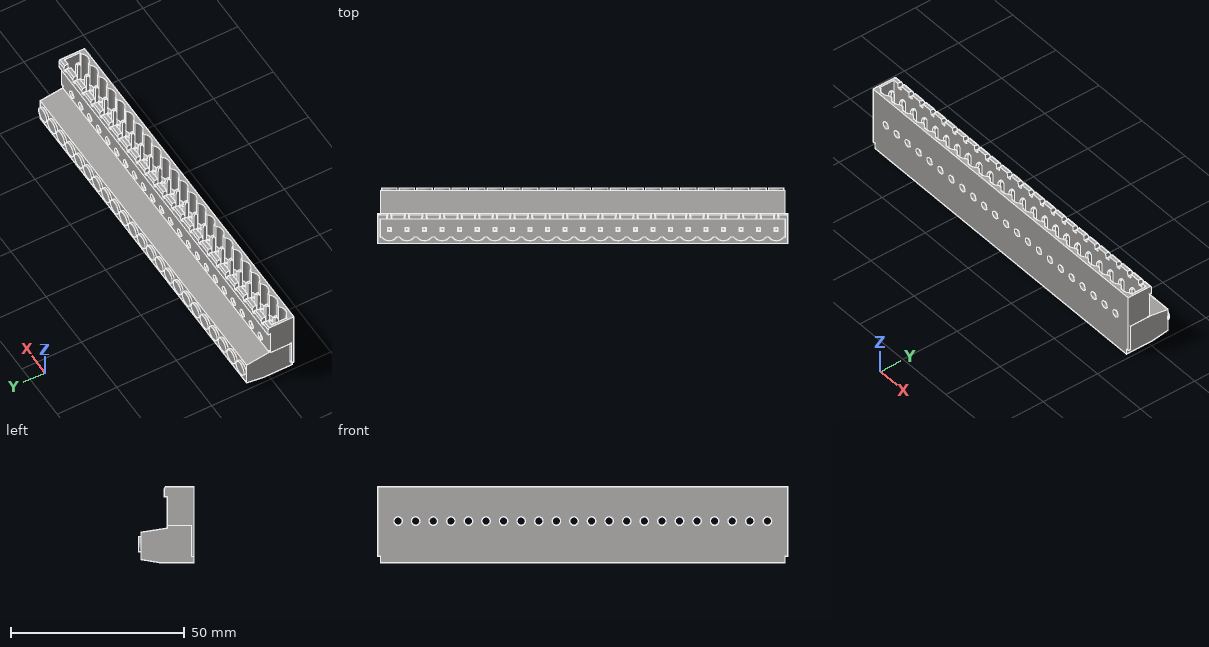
import cadquery as cq


pole_count = 23
row_span = 111.7
pitch = row_span / (pole_count - 1)

length = 118.5
height = 22.0
shroud_depth = 7.8
shroud_bottom = 10.8
cavity_back = 7.1
end_wall = 0.7
front_strip_depth = 0.8
front_strip_bottom = 1.9

cusp_depth = 1.9
scallop_radius = 2.6
scallop_front_wall = 0.8

lip_depth = 8.6
lip_bottom = 19.1
lip_chamfer_bottom = 21.3
lip_top_depth = 8.3
notch_floor = 20.5
notch_outer_width = 0.7
notch_inner_width = 1.2
notch_side_slope = 10

body_inset = 0.8
body_depth = 15.4
body_top_at_shroud = 10.1
body_top_at_back = 8.9
body_flat_base_depth = 9.7
body_base_at_back = 1.0

boss_diameter = 4.5
boss_height = 0.7
boss_z = 5.5

pin_width = 1.2
pin_tip_inset = 0.2
pin_tip_height = 0.8
pin_y = 4.1
pin_top = 21.1

hole_diameter = 2.4
hole_z = 12.1

body_length = length - 2 * body_inset
pole_xs = [(i - (pole_count - 1) / 2) * pitch for i in range(pole_count)]
gap_xs = [x + pitch / 2 for x in pole_xs[:-1]]


def extrude_along_row(profile, row_length):
    """Extrude a (y, z) outline along X, centred on the row."""
    return cq.Workplane("YZ").polyline(profile).close().extrude(row_length / 2, both=True)


def make_shroud():
    profile = [
        (0, front_strip_bottom),
        (front_strip_depth, front_strip_bottom),
        (front_strip_depth, shroud_bottom),
        (shroud_depth, shroud_bottom),
        (shroud_depth, lip_bottom),
        (lip_depth, lip_bottom),
        (lip_depth, lip_chamfer_bottom),
        (lip_top_depth, height),
        (0, height),
    ]
    return extrude_along_row(profile, length)


def make_body():
    profile = [
        (0, 0),
        (body_flat_base_depth, 0),
        (body_depth, body_base_at_back),
        (body_depth, body_top_at_back),
        (shroud_depth, body_top_at_shroud),
        (shroud_depth, shroud_bottom),
        (0, shroud_bottom),
    ]
    return extrude_along_row(profile, body_length)


def make_cavity():
    """Open-topped pocket whose front side has one round scallop per pole."""
    depth = height - shroud_bottom
    floor = cq.Workplane("XY").workplane(offset=shroud_bottom)
    pocket = (
        floor.center(0, (cusp_depth + cavity_back) / 2)
        .rect(length - 2 * end_wall, cavity_back - cusp_depth)
        .extrude(depth)
    )
    scallop_y = scallop_front_wall + scallop_radius
    for x in pole_xs:
        scallop = floor.center(x, scallop_y).circle(scallop_radius).extrude(depth)
        pocket = pocket.union(scallop)
    return pocket


def make_notches():
    """Notches through the top of the back wall, one per pole, flaring inwards and upwards."""
    notches = cq.Workplane("XY")
    for x in pole_xs:
        outline = [
            (x - notch_inner_width / 2, cavity_back),
            (x + notch_inner_width / 2, cavity_back),
            (x + notch_outer_width / 2, lip_depth),
            (x - notch_outer_width / 2, lip_depth),
        ]
        notch = cq.Workplane("XY").workplane(offset=notch_floor).polyline(outline).close()
        notches = notches.add(notch.extrude(height - notch_floor, taper=-notch_side_slope))
    return notches.combine()


def make_pins():
    return (
        cq.Workplane("XY")
        .workplane(offset=shroud_bottom)
        .pushPoints([(x, pin_y) for x in pole_xs])
        .rect(pin_width, pin_width)
        .extrude(pin_top - shroud_bottom)
        .faces(">Z")
        .chamfer(pin_tip_height, pin_tip_inset)
    )


def make_bosses():
    return (
        cq.Workplane("XZ", origin=(0, body_depth, 0))
        .pushPoints([(x, boss_z) for x in pole_xs])
        .circle(boss_diameter / 2)
        .extrude(-boss_height)
    )


def make_holes():
    """Holes running straight through the front and back walls of the shroud."""
    return (
        cq.Workplane("XZ")
        .pushPoints([(x, hole_z) for x in gap_xs])
        .circle(hole_diameter / 2)
        .extrude(-lip_depth)
    )


housing = make_shroud().union(make_body()).cut(make_cavity()).cut(make_notches()).cut(make_holes())
result = housing.union(make_pins()).union(make_bosses())